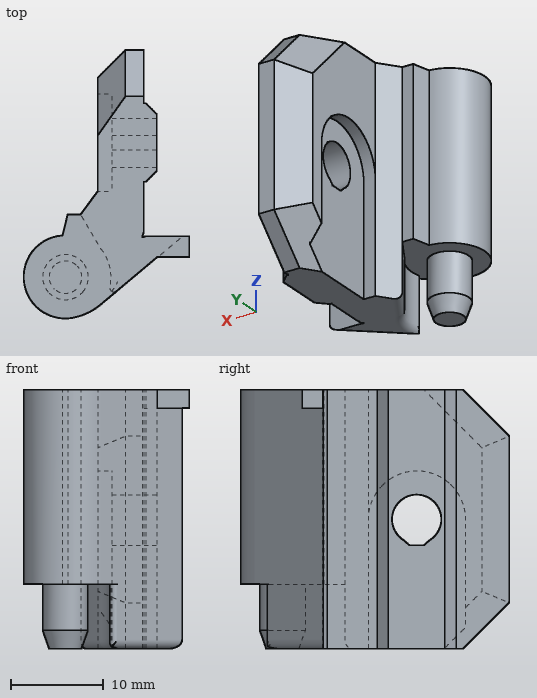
import cadquery as cq
import math


total_height = 28.0
barrel_bottom = 7.0

barrel_radius = 4.5
blend_radius = 6.5
blend_start_angle = 11.1
web_angle = 40.0

plate_left = 3.5
plate_thickness = 5.0
plate_right = plate_left + plate_thickness
plate_end = 24.5
plate_start = 9.25
corner_cut = 5.0
edge_chamfer = 3.0

step_y = 6.75
step_inner_x = 1.65
step_outer_x = 0.25
barrel_joint_x = -0.3

arm_end = 13.4
arm_top_y = 4.4
arm_width = 2.25
arm_height = 2.0

notch_length = 0.45
notch_depth = 0.2
notch_drop = 0.1
notch_run = 0.3

pad_center_y = 14.5
pad_width = 8.5
pad_step = 0.2
pad_height = 1.4

hole_center_y = 14.5
hole_center_z = total_height / 2
hole_radius = 2.65
hole_flat_drop = 2.8
hole_flat_width = 1.55
hole_flank_angle = 31.0
recess_radius = 5.25
recess_depth = 1.5

pin_radius = 2.45
pin_tip_radius = 1.75
pin_tip_height = 2.0

clearance_radius = 4.9
clearance_angle = 40.7
clearance_edge_fillet = 0.5
bottom_fillet = 1.0


def polar(radius, degrees):
    """Point at a radius and angle around the barrel axis."""
    angle = math.radians(degrees)
    return radius * math.cos(angle), radius * math.sin(angle)


def web_outline_points():
    """End of the barrel arc, middle and end of the blend arc, and tip of the web."""
    start_bearing = blend_start_angle - 90
    end_bearing = web_angle - 90
    back_x, back_y = polar(blend_radius - barrel_radius, start_bearing)

    def on_blend(bearing):
        x, y = polar(blend_radius, bearing)
        return x - back_x, y - back_y

    blend_end = on_blend(end_bearing)
    run = (arm_top_y - blend_end[1]) / math.tan(math.radians(web_angle))
    return (
        polar(barrel_radius, start_bearing),
        on_blend((start_bearing + end_bearing) / 2),
        blend_end,
        (blend_end[0] + run, arm_top_y),
    )


blend_start, blend_middle, blend_end, web_tip = web_outline_points()


def close_along_plate(sketch):
    """Complete a root outline from the web tip round the notch to the end of the step."""
    return (
        sketch.lineTo(plate_right + notch_run, arm_top_y)
        .lineTo(plate_right - notch_depth, arm_top_y - notch_drop)
        .lineTo(plate_right, arm_top_y + notch_length)
        .lineTo(plate_right, plate_start)
        .lineTo(plate_left, plate_start)
        .lineTo(step_inner_x, step_y)
    )


def make_upper_root():
    """Barrel, web and step, from the underside of the barrel to the top."""
    joint_y = math.sqrt(barrel_radius**2 - barrel_joint_x**2)
    sketch = (
        cq.Workplane("XY", origin=(0, 0, barrel_bottom))
        .moveTo(step_inner_x, step_y)
        .lineTo(step_outer_x, step_y)
        .lineTo(barrel_joint_x, joint_y)
        .threePointArc((-barrel_radius, 0), blend_start)
        .threePointArc(blend_middle, blend_end)
        .lineTo(*web_tip)
    )
    return close_along_plate(sketch).close().extrude(total_height - barrel_bottom)


def nearest_to(x, y, z):
    """Selector for the edge whose middle is closest to a point."""
    return cq.selectors.NearestToPointSelector((x, y, z))


def midpoint(start, end):
    """Point halfway between two points in the plane."""
    return (start[0] + end[0]) / 2, (start[1] + end[1]) / 2


def make_lower_root():
    """Web below the barrel, cut back around the pin and rounded along its lower edge."""
    web_distance = blend_end[0] * math.sin(math.radians(web_angle))
    web_distance -= blend_end[1] * math.cos(math.radians(web_angle))
    corner_bearing = web_angle - 90 + math.degrees(math.acos(web_distance / clearance_radius))
    corner = polar(clearance_radius, corner_bearing)
    arc_start = polar(clearance_radius, clearance_angle)
    arc_middle = polar(clearance_radius, (clearance_angle + corner_bearing) / 2)
    sketch = (
        cq.Workplane("XY")
        .moveTo(step_inner_x, step_y)
        .lineTo(*arc_start)
        .threePointArc(arc_middle, corner)
        .lineTo(*web_tip)
    )
    root = close_along_plate(sketch).close().extrude(barrel_bottom)
    rounded_corner = root.edges(nearest_to(*corner, barrel_bottom / 2)).fillet(clearance_edge_fillet)

    exposed = [
        root.edges(nearest_to(*middle, 0)).val()
        for middle in (midpoint((step_inner_x, step_y), arc_start), arc_middle, midpoint(corner, web_tip))
    ]
    rounded_bottom = root.newObject(exposed).fillet(bottom_fillet)
    return rounded_corner.intersect(rounded_bottom)


def make_plate():
    """Plate with two cut corners and a chamfer round its free end."""
    plate = (
        cq.Workplane("YZ", origin=(plate_left, 0, 0))
        .moveTo(plate_start, 0)
        .lineTo(plate_end - corner_cut, 0)
        .lineTo(plate_end, corner_cut)
        .lineTo(plate_end, total_height - corner_cut)
        .lineTo(plate_end - corner_cut, total_height)
        .lineTo(plate_start, total_height)
        .close()
        .extrude(plate_thickness)
    )
    free_end = cq.selectors.BoxSelector(
        (0, plate_end - corner_cut, 0),
        (plate_right, plate_end + edge_chamfer, total_height),
    )
    return plate.faces("<X").edges(free_end).chamfer(edge_chamfer)


def make_pad():
    """Full-height pad with bevelled sides on the right of the plate."""
    half = pad_width / 2
    bevel = pad_height - pad_step
    return (
        cq.Workplane("XY")
        .moveTo(plate_right, pad_center_y - half)
        .lineTo(plate_right + pad_step, pad_center_y - half)
        .lineTo(plate_right + pad_height, pad_center_y - half + bevel)
        .lineTo(plate_right + pad_height, pad_center_y + half - bevel)
        .lineTo(plate_right + pad_step, pad_center_y + half)
        .lineTo(plate_right, pad_center_y + half)
        .close()
        .extrude(total_height)
    )


def make_arm():
    """Short arm at the top of the web."""
    corner = (plate_right, arm_top_y - arm_width, total_height - arm_height)
    length = arm_end - plate_right
    return cq.Workplane("XY", origin=corner).box(length, arm_width, arm_height, centered=False)


def make_pin():
    """Pin with a tapered tip, on the barrel axis."""
    return (
        cq.Workplane("XZ")
        .lineTo(pin_tip_radius, 0)
        .lineTo(pin_radius, pin_tip_height)
        .lineTo(pin_radius, barrel_bottom)
        .lineTo(0, barrel_bottom)
        .close()
        .revolve(360, (0, 0), (0, 1))
    )


def make_screw_hole():
    """Cutter for the hole through plate and pad: a circle with a flat-bottomed lower end."""
    flank = math.radians(hole_flank_angle)
    flank_y = hole_radius * math.sin(flank)
    flank_z = -hole_radius * math.cos(flank)
    half_flat = hole_flat_width / 2
    return (
        cq.Workplane("YZ", origin=(plate_left, hole_center_y, hole_center_z))
        .moveTo(flank_y, flank_z)
        .threePointArc((0, hole_radius), (-flank_y, flank_z))
        .lineTo(-half_flat, -hole_flat_drop)
        .lineTo(half_flat, -hole_flat_drop)
        .close()
        .extrude(plate_thickness + pad_height)
    )


def make_recess():
    """Cutter for the round-topped recess that runs down to the underside of the plate."""
    return (
        cq.Workplane("YZ", origin=(plate_left, hole_center_y, hole_center_z))
        .moveTo(recess_radius, 0)
        .threePointArc((0, recess_radius), (-recess_radius, 0))
        .lineTo(-recess_radius, -hole_center_z)
        .lineTo(recess_radius, -hole_center_z)
        .close()
        .extrude(recess_depth)
    )


body = make_upper_root()
for piece in (make_lower_root(), make_plate(), make_pad(), make_arm(), make_pin()):
    body = body.union(piece)

result = body.cut(make_recess()).cut(make_screw_hole())